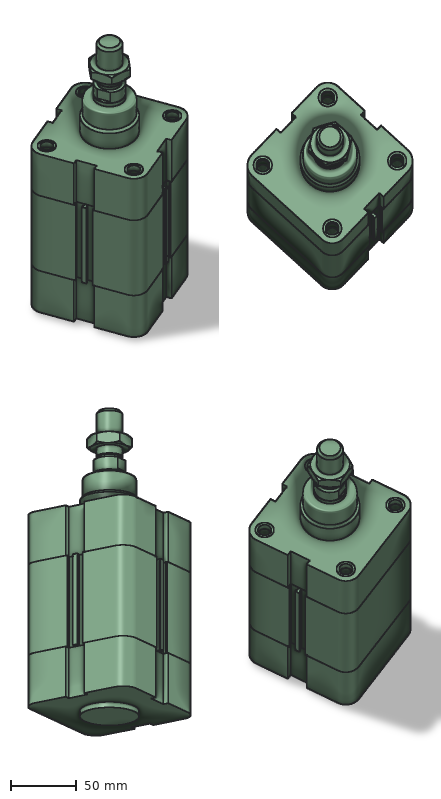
import cadquery as cq
import math

BODY_WIDTH = 95.5
CORNER_RADIUS = 11.7
COLLAR_DIAMETER = 45.0
COLLAR_HEIGHT = 4.4
CAP_HEIGHT = 40.0
TUBE_LENGTH = 72.5

HALF_WIDTH = BODY_WIDTH / 2
REAR_CAP_BASE = COLLAR_HEIGHT
TUBE_BASE = REAR_CAP_BASE + CAP_HEIGHT
FRONT_CAP_BASE = TUBE_BASE + TUBE_LENGTH
FRONT_CAP_TOP = FRONT_CAP_BASE + CAP_HEIGHT

CAP_SLOT_WIDTH = 16.8
CHANNEL_WIDTH = 16.0
SLOT_DEPTH = 4.4
SLOT_OPENING = 14.0
LIP_THICKNESS = 1.5
RIB_HEAD_WIDTH = 4.0
RIB_STEM_WIDTH = 2.5
SLOT_TURNS = (-90, 0, 90)

BOSS_TOP = 189.8
BOSS_DIAMETER = 41.0
BOSS_FILLET = 2.2
SHOULDER_TAPER_BASE = 171.8
SHOULDER_TAPER_HEIGHT = 2.2

HOLE_OFFSET = HALF_WIDTH - CORNER_RADIUS
RECESS_DIAMETER = 14.0
RECESS_DEPTH = 0.2
ENTRY_DIAMETER = 10.2
ENTRY_DEPTH = 5.3
DRILL_DIAMETER = 10.0
DRILL_DEPTH = 19.5
DRILL_POINT_ANGLE = 118

ROD_TOP = 243.0
ROD_DIAMETER = 25.0
ROD_SHOULDER = 193.2
FLATS_DIAMETER = 24.5
FLATS_TOP = 203.5
FLATS_WIDTH = 22.0
NECK_DIAMETER = 18.5
THREAD_BASE = 206.8
THREAD_DIAMETER = 20.0
THREAD_CHAMFER_WIDTH = 2.0
THREAD_CHAMFER_HEIGHT = 2.5

NUT_BASE = 213.4
NUT_HEIGHT = 9.0
NUT_SIDES = 6
NUT_ACROSS_FLATS = 30.0
NUT_CHAMFER_ANGLE = 30


def revolved(profile):
    """Solid of revolution about Z from (radius, height) points."""
    return cq.Workplane("XZ").polyline(profile).close().revolve(360, (0, 0), (0, 1))


def square_block(base, height):
    block = cq.Workplane("XY").workplane(offset=base).rect(BODY_WIDTH, BODY_WIDTH).extrude(height)
    return block.edges("|Z").fillet(CORNER_RADIUS)


def slot_strip(width, depth_from, depth_to, base, height):
    """Vertical strip centred on the -Y side, between two depths below that side."""
    strip = cq.Workplane("XY").box(width, depth_to - depth_from, height, centered=(True, False, False))
    return strip.translate((0, depth_from - HALF_WIDTH, base))


def cut_on_slotted_sides(body, cutter):
    for turn in SLOT_TURNS:
        body = body.cut(cutter.rotate((0, 0, 0), (0, 0, 1), turn))
    return body


def slotted_cap(base):
    slot = slot_strip(CAP_SLOT_WIDTH, 0, SLOT_DEPTH, base, CAP_HEIGHT)
    return cut_on_slotted_sides(square_block(base, CAP_HEIGHT), slot)


def make_tube():
    opening = slot_strip(SLOT_OPENING, 0, LIP_THICKNESS, TUBE_BASE, TUBE_LENGTH)
    channel = slot_strip(CHANNEL_WIDTH, LIP_THICKNESS, SLOT_DEPTH, TUBE_BASE, TUBE_LENGTH)
    rib_head = slot_strip(RIB_HEAD_WIDTH, 0, LIP_THICKNESS, TUBE_BASE, TUBE_LENGTH)
    rib_stem = slot_strip(RIB_STEM_WIDTH, LIP_THICKNESS, SLOT_DEPTH, TUBE_BASE, TUBE_LENGTH)
    slot = opening.cut(rib_head).union(channel.cut(rib_stem))
    return cut_on_slotted_sides(square_block(TUBE_BASE, TUBE_LENGTH), slot)


def make_rear_cap():
    collar = cq.Workplane("XY").circle(COLLAR_DIAMETER / 2).extrude(COLLAR_HEIGHT)
    return slotted_cap(REAR_CAP_BASE).union(collar)


def front_boss():
    collar_radius = COLLAR_DIAMETER / 2
    boss_radius = BOSS_DIAMETER / 2
    profile = [
        (0, FRONT_CAP_BASE),
        (collar_radius, FRONT_CAP_BASE),
        (collar_radius, SHOULDER_TAPER_BASE),
        (boss_radius, SHOULDER_TAPER_BASE + SHOULDER_TAPER_HEIGHT),
        (boss_radius, BOSS_TOP),
        (0, BOSS_TOP),
    ]
    return revolved(profile).faces(">Z").edges().fillet(BOSS_FILLET)


def corner_hole():
    """Cutter for one corner hole: shallow recess, entry bore and drilled hole with a conical end."""
    drill_radius = DRILL_DIAMETER / 2
    drill_bottom = FRONT_CAP_TOP - DRILL_DEPTH
    point_height = drill_radius / math.tan(math.radians(DRILL_POINT_ANGLE / 2))
    profile = [
        (0, FRONT_CAP_TOP),
        (RECESS_DIAMETER / 2, FRONT_CAP_TOP),
        (RECESS_DIAMETER / 2, FRONT_CAP_TOP - RECESS_DEPTH),
        (ENTRY_DIAMETER / 2, FRONT_CAP_TOP - RECESS_DEPTH),
        (ENTRY_DIAMETER / 2, FRONT_CAP_TOP - ENTRY_DEPTH),
        (drill_radius, FRONT_CAP_TOP - ENTRY_DEPTH),
        (drill_radius, drill_bottom),
        (0, drill_bottom - point_height),
    ]
    return revolved(profile)


def make_front_cap():
    cap = slotted_cap(FRONT_CAP_BASE).union(front_boss())
    for x in (-HOLE_OFFSET, HOLE_OFFSET):
        for y in (-HOLE_OFFSET, HOLE_OFFSET):
            cap = cap.cut(corner_hole().translate((x, y, 0)))
    rod_bore = (
        cq.Workplane("XY").workplane(offset=FRONT_CAP_BASE)
        .circle(ROD_DIAMETER / 2).extrude(BOSS_TOP - FRONT_CAP_BASE)
    )
    return cap.cut(rod_bore)


def wrench_flat():
    """Cutter for the flat on the -Y side of the rod; its floor slopes down outwards at 45 degrees."""
    inner = FLATS_WIDTH / 2
    outer = FLATS_DIAMETER / 2
    floor = ROD_SHOULDER + outer - inner
    section = [(-inner, FLATS_TOP), (-inner, floor), (-outer, ROD_SHOULDER), (-outer, FLATS_TOP)]
    return cq.Workplane("YZ").polyline(section).close().extrude(outer, both=True)


def make_piston_rod():
    rod_radius = ROD_DIAMETER / 2
    flats_radius = FLATS_DIAMETER / 2
    neck_radius = NECK_DIAMETER / 2
    thread_radius = THREAD_DIAMETER / 2
    profile = [
        (0, FRONT_CAP_BASE),
        (rod_radius, FRONT_CAP_BASE),
        (rod_radius, ROD_SHOULDER),
        (flats_radius, ROD_SHOULDER),
        (flats_radius, FLATS_TOP),
        (neck_radius, FLATS_TOP),
        (neck_radius, THREAD_BASE - (thread_radius - neck_radius)),
        (thread_radius, THREAD_BASE),
        (thread_radius, ROD_TOP - THREAD_CHAMFER_HEIGHT),
        (thread_radius - THREAD_CHAMFER_WIDTH, ROD_TOP),
        (0, ROD_TOP),
    ]
    rod = revolved(profile)
    for turn in (0, 180):
        rod = rod.cut(wrench_flat().rotate((0, 0, 0), (0, 0, 1), turn))
    return rod


def make_lock_nut():
    """Hexagon with corners on X, chamfered at both ends by a cone through the inscribed circle."""
    flat_radius = NUT_ACROSS_FLATS / 2
    corner_radius = flat_radius / math.cos(math.pi / NUT_SIDES)
    chamfer = (corner_radius - flat_radius) * math.tan(math.radians(NUT_CHAMFER_ANGLE))
    nut_top = NUT_BASE + NUT_HEIGHT
    envelope = revolved([
        (THREAD_DIAMETER / 2, NUT_BASE),
        (flat_radius, NUT_BASE),
        (corner_radius, NUT_BASE + chamfer),
        (corner_radius, nut_top - chamfer),
        (flat_radius, nut_top),
        (THREAD_DIAMETER / 2, nut_top),
    ])
    hexagon = cq.Workplane("XY").workplane(offset=NUT_BASE).polygon(NUT_SIDES, 2 * corner_radius)
    return hexagon.extrude(NUT_HEIGHT).intersect(envelope)


rear_cap = make_rear_cap()
tube = make_tube()
front_cap = make_front_cap()
piston_rod = make_piston_rod()
lock_nut = make_lock_nut()

result = cq.Compound.makeCompound(
    [rear_cap.val(), tube.val(), front_cap.val(), piston_rod.val(), lock_nut.val()]
)